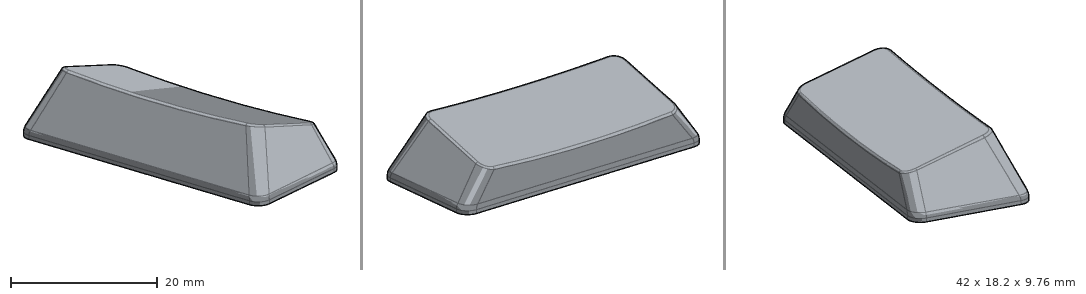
import cadquery as cq
import math

base_length = 41.95
base_width = 18.17
base_corner_radius = 1.95
band_height = 0.6
blend_height = 0.75

rim_length = 34.4
rim_front_y = -5.1
rim_back_y = 8.65
rim_front_z = 9.95
rim_back_z = 5.88
rim_corner_radius = 1.9
rim_edge_radius = 0.4

dish_radius = 235.05

rim_run = rim_back_y - rim_front_y
rim_drop = rim_front_z - rim_back_z
rim_width = math.hypot(rim_run, rim_drop)
rim_plane = cq.Plane(
    origin=(0, (rim_front_y + rim_back_y) / 2, (rim_front_z + rim_back_z) / 2),
    xDir=(1, 0, 0),
    normal=(0, rim_drop, rim_run),
)

blend_middle_z = band_height + blend_height / 2
blend_top_z = band_height + blend_height

blend_middle_lean = 0.25

half_length = base_length / 2
half_width = base_width / 2
front_rise = (blend_height / 2) / (rim_front_z - blend_middle_z)
back_rise = (blend_height / 2) / (rim_back_z - blend_middle_z)
front_inset = front_rise * (half_width + rim_front_y)
back_inset = back_rise * (half_width - rim_back_y)
side_front_inset = front_rise * (half_length - rim_length / 2)
side_back_inset = back_rise * (half_length - rim_length / 2)


def rounded_outline(plane, corners, radius):
    """Closed outline through four corners on a plane, with each corner rounded."""
    outline = cq.Workplane(plane).polyline(corners).close().wire().val()
    return outline.fillet2D(radius, outline.Vertices())


def foot_outline(height, lean):
    """Level outline of the foot; lean is the share of the full wall inset."""
    front_x = half_length - lean * side_front_inset
    back_x = half_length - lean * side_back_inset
    front_y = -half_width + lean * front_inset
    back_y = half_width - lean * back_inset
    corners = [(-front_x, front_y), (front_x, front_y), (back_x, back_y), (-back_x, back_y)]
    return rounded_outline(cq.Plane.XY((0, 0, height)), corners, base_corner_radius)


def rim_outline():
    x = rim_length / 2
    y = rim_width / 2
    return rounded_outline(rim_plane, [(-x, -y), (x, -y), (x, y), (-x, y)], rim_corner_radius)


def make_body():
    """Upright band, parabolic blend and ruled walls, stacked."""
    band = cq.Solid.makeLoft([foot_outline(0, 0), foot_outline(band_height, 0)], True)
    blend = cq.Solid.makeLoft(
        [
            foot_outline(band_height, 0),
            foot_outline(blend_middle_z, blend_middle_lean),
            foot_outline(blend_top_z, 1),
        ]
    )
    walls = cq.Solid.makeLoft([foot_outline(blend_top_z, 1), rim_outline()], True)
    return cq.Workplane(band).union(cq.Workplane(blend)).union(cq.Workplane(walls))


def make_dish():
    """Large cylinder that meets the rim plane along both ends of the cap."""
    axis_height = math.sqrt(dish_radius**2 - (rim_length / 2) ** 2)
    axis_plane = cq.Plane(rim_plane.origin, (1, 0, 0), -rim_plane.yDir)
    dish = cq.Workplane(axis_plane).center(0, axis_height).circle(dish_radius)
    return dish.extrude(base_width, both=True)


dished = make_body().cut(make_dish())

result = dished.faces("%CYLINDER").faces(">Z").edges().fillet(rim_edge_radius)